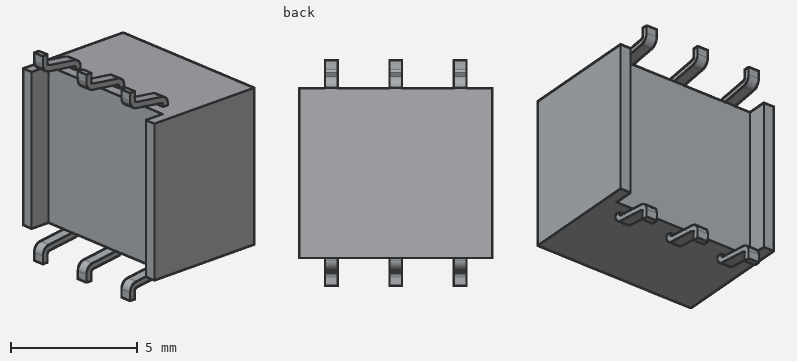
import cadquery as cq
import math

total_height = 8.89
body_width = 7.62
total_depth = 5.72

body_height = 6.7
body_depth = 5.36
channel_depth = 0.9
side_wall = 0.5

lead_width = 0.51
lead_thickness = 0.26
lead_pitch = 2.53
lead_reach = 2.03
lead_slope = math.radians(7)
slope_mid_height = 0.4
inner_bend_radius = 0.125
outer_bend_radius = inner_bend_radius + lead_thickness
root_embed = 0.09

foot_front = -total_depth / 2
body_front = foot_front + total_depth - body_depth
body_top = body_height / 2
foot_back = foot_front + lead_thickness
root_back = foot_front + lead_reach
root_front = root_back - lead_thickness


def make_body():
    block = cq.Workplane("XY").box(body_width, body_depth, body_height)
    block = block.translate((0, body_front + body_depth / 2, 0))
    channel = cq.Workplane("XY").box(body_width - 2 * side_wall, channel_depth, body_height)
    return block.cut(channel.translate((0, body_front + channel_depth / 2, 0)))


def slope_point(y, side):
    """Point on the upper (side=1) or lower (side=-1) face of the sloped run."""
    distance_forward = (foot_front + root_back) / 2 - y
    middle = body_top + slope_mid_height + distance_forward * math.tan(lead_slope)
    return (y, middle + side * lead_thickness / 2 / math.cos(lead_slope))


def round_bend(lead, corner, radius):
    y, z = corner
    nearest = cq.selectors.NearestToPointSelector((0, y, z))
    return lead.edges("|X").edges(nearest).fillet(radius)


def make_top_lead():
    root_outer = slope_point(root_back, 1)
    root_inner = slope_point(root_front, -1)
    foot_outer = slope_point(foot_front, -1)
    foot_inner = slope_point(foot_back, 1)
    outline = [
        (root_back, body_top - root_embed),
        root_outer,
        foot_inner,
        (foot_back, total_height / 2),
        (foot_front, total_height / 2),
        foot_outer,
        root_inner,
        (root_front, body_top - root_embed),
    ]
    lead = cq.Workplane("YZ").polyline(outline).close().extrude(lead_width / 2, both=True)
    for corner in (root_outer, foot_outer):
        lead = round_bend(lead, corner, outer_bend_radius)
    for corner in (root_inner, foot_inner):
        lead = round_bend(lead, corner, inner_bend_radius)
    return lead


top_lead = make_top_lead()
bottom_lead = top_lead.mirror("XY")

result = make_body()
for column in (-1, 0, 1):
    offset = (column * lead_pitch, 0, 0)
    result = result.union(top_lead.translate(offset))
    result = result.union(bottom_lead.translate(offset))